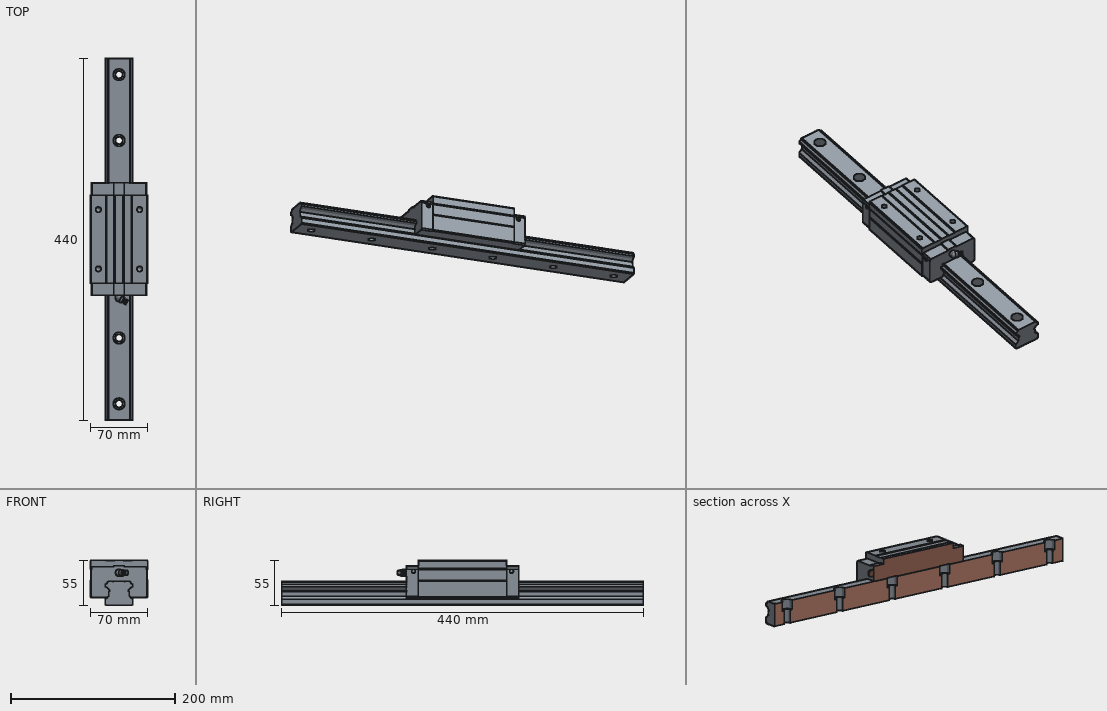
import cadquery as cq
import math

RAIL_LENGTH = 440.0
RAIL_HEIGHT = 29.0
RAIL_WIDTH = 34.0
RAIL_HALF_WIDTH = RAIL_WIDTH / 2
RAIL_TOP_HALF_WIDTH = 12.8
RAIL_BASE_CHAMFER = 1.5
FOOT_EDGE_Z = 7.5
WEB_HALF_WIDTH = 12.8
WEB_FOOT_Z = 11.0
WEB_TOP_HALF_WIDTH = 12.5
WEB_TOP_Z = 16.5
LOWER_TRACK_ROOT_X = 11.0
LOWER_TRACK_ROOT_Z = 17.5
HEAD_LOW_Z = 23.0
HEAD_HIGH_Z = 25.5
UPPER_TRACK_ROOT_X = 14.0
UPPER_TRACK_ROOT_Z = 28.0
TRACK_SAGITTA = 0.65

RAIL_HOLE_PITCH = 80.0
RAIL_HOLE_COUNT = 6
RAIL_HOLE_DIAMETER = 9.0
RAIL_BORE_DIAMETER = 14.0
RAIL_BORE_DEPTH = 12.0

BLOCK_WIDTH = 70.0
BLOCK_LENGTH = 107.5
BLOCK_TOP_Z = 55.0
CARRIAGE_BOTTOM_Z = 9.2
BLOCK_CHAMFER = 1.5
RECESS_DEPTH = 0.5
RECESS_SLOPE = 1.5
TOP_RECESS_INNER_X = 5.0
TOP_RECESS_OUTER_X = 16.5
SIDE_RECESS_LOW_Z = 29.5
SIDE_RECESS_HIGH_Z = 45.0

MOUNT_HOLE_DIAMETER = 6.5
MOUNT_HOLE_DEPTH = 12.0
DRILL_POINT_ANGLE = 118
MOUNT_SPACING_X = 50.0
MOUNT_SPACING_Y = 72.0

CARRIAGE_LENGTH = 137.0
CAP_WIDTH = 67.8
CAP_TOP_Z = 47.0
CAP_CHAMFER_X = 1.5
CAP_CHAMFER_Z = 3.0
CAP_BOTTOM_CHAMFER = 1.8
CAP_RIDGE_Z = 48.5
CAP_RIDGE_HALF_WIDTH = 6.0
CAP_HOLE_DIAMETER = 5.0
CAP_HOLE_DEPTH = 3.5
CAP_HOLE_INSET = 9.0

NIPPLE_Z = 39.5
NIPPLE_DIAMETER = 9.0
NIPPLE_STEM_LENGTH = 3.0
NIPPLE_SPOUT_ANGLE = 60
SPOUT_BODY_DIAMETER = 8.0
SPOUT_BODY_END = 5.5
SPOUT_NECK_START = 6.5
SPOUT_NECK_END = 8.0
SPOUT_HEAD_START = 9.0
SPOUT_END = 11.0
SPOUT_NECK_DIAMETER = 5.0
SPOUT_HEAD_DIAMETER = 6.0


def mirrored_outline(right_side):
    """Closed XZ outline from its +X points, listed bottom to top."""
    left_side = [(-x, z) for x, z in reversed(right_side)]
    return right_side + left_side


def extrude_along_y(outline, length, y_center=0.0):
    start = cq.Workplane("XZ", origin=(0, y_center, 0))
    return start.polyline(outline).close().extrude(length / 2, both=True)


def track_middle(start, end):
    """Middle point of a ball track that runs from start up to end on the +X side."""
    run_x = end[0] - start[0]
    run_z = end[1] - start[1]
    dip = TRACK_SAGITTA / math.hypot(run_x, run_z)
    middle_x = (start[0] + end[0]) / 2 - dip * run_z
    middle_z = (start[1] + end[1]) / 2 + dip * run_x
    return (middle_x, middle_z)


def rail_prism(length):
    """The rail's cross-section, with a concave ball track above and below each head edge."""
    lower_root = (LOWER_TRACK_ROOT_X, LOWER_TRACK_ROOT_Z)
    head_low = (RAIL_HALF_WIDTH, HEAD_LOW_Z)
    head_high = (RAIL_HALF_WIDTH, HEAD_HIGH_Z)
    upper_root = (UPPER_TRACK_ROOT_X, UPPER_TRACK_ROOT_Z)
    half_section = (
        cq.Workplane("XZ").moveTo(0, 0)
        .lineTo(RAIL_HALF_WIDTH - RAIL_BASE_CHAMFER, 0)
        .lineTo(RAIL_HALF_WIDTH, RAIL_BASE_CHAMFER)
        .lineTo(RAIL_HALF_WIDTH, FOOT_EDGE_Z)
        .lineTo(WEB_HALF_WIDTH, WEB_FOOT_Z)
        .lineTo(WEB_TOP_HALF_WIDTH, WEB_TOP_Z)
        .lineTo(*lower_root)
        .threePointArc(track_middle(lower_root, head_low), head_low)
        .lineTo(*head_high)
        .threePointArc(track_middle(head_high, upper_root), upper_root)
        .lineTo(RAIL_TOP_HALF_WIDTH, RAIL_HEIGHT)
        .lineTo(0, RAIL_HEIGHT)
        .close()
    )
    half_prism = half_section.extrude(length / 2, both=True)
    return half_prism.union(half_prism.mirror("YZ")).clean()


def make_rail():
    rail = rail_prism(RAIL_LENGTH)
    first_y = -RAIL_HOLE_PITCH * (RAIL_HOLE_COUNT - 1) / 2
    centers = [(0, first_y + i * RAIL_HOLE_PITCH) for i in range(RAIL_HOLE_COUNT)]
    return (
        rail.faces(">Z").workplane(origin=(0, 0, RAIL_HEIGHT)).pushPoints(centers)
        .cboreHole(RAIL_HOLE_DIAMETER, RAIL_BORE_DIAMETER, RAIL_BORE_DEPTH)
    )


def drilled_hole(x, y):
    """Blind mounting hole with a conical drill point, ready to be cut from the block."""
    radius = MOUNT_HOLE_DIAMETER / 2
    point_depth = radius / math.tan(math.radians(DRILL_POINT_ANGLE / 2))
    return (
        cq.Workplane("XZ")
        .polyline([
            (0, 0),
            (radius, 0),
            (radius, -MOUNT_HOLE_DEPTH),
            (0, -MOUNT_HOLE_DEPTH - point_depth),
        ]).close().revolve(360, (0, 0, 0), (0, 1, 0))
        .translate((x, y, BLOCK_TOP_Z))
    )


def make_block():
    half = BLOCK_WIDTH / 2
    floor_x = half - RECESS_DEPTH
    floor_z = BLOCK_TOP_Z - RECESS_DEPTH
    block = extrude_along_y(mirrored_outline([
        (half - BLOCK_CHAMFER, CARRIAGE_BOTTOM_Z),
        (half, CARRIAGE_BOTTOM_Z + BLOCK_CHAMFER),
        (half, SIDE_RECESS_LOW_Z),
        (floor_x, SIDE_RECESS_LOW_Z + RECESS_SLOPE),
        (floor_x, SIDE_RECESS_HIGH_Z - RECESS_SLOPE),
        (half, SIDE_RECESS_HIGH_Z),
        (half, BLOCK_TOP_Z - BLOCK_CHAMFER),
        (half - BLOCK_CHAMFER, BLOCK_TOP_Z),
        (TOP_RECESS_OUTER_X, BLOCK_TOP_Z),
        (TOP_RECESS_OUTER_X - RECESS_SLOPE, floor_z),
        (TOP_RECESS_INNER_X + RECESS_SLOPE, floor_z),
        (TOP_RECESS_INNER_X, BLOCK_TOP_Z),
    ]), BLOCK_LENGTH)
    for x in (-MOUNT_SPACING_X / 2, MOUNT_SPACING_X / 2):
        for y in (-MOUNT_SPACING_Y / 2, MOUNT_SPACING_Y / 2):
            block = block.cut(drilled_hole(x, y))
    return block


def make_end_cap(end):
    """End cap at the -Y end (end = -1) or the +Y end (end = 1)."""
    half = CAP_WIDTH / 2
    cap_length = (CARRIAGE_LENGTH - BLOCK_LENGTH) / 2
    y_center = end * (BLOCK_LENGTH + cap_length) / 2
    cap = extrude_along_y(mirrored_outline([
        (half - CAP_BOTTOM_CHAMFER, CARRIAGE_BOTTOM_Z),
        (half, CARRIAGE_BOTTOM_Z + CAP_BOTTOM_CHAMFER),
        (half, CAP_TOP_Z - CAP_CHAMFER_Z),
        (half - CAP_CHAMFER_X, CAP_TOP_Z),
        (CAP_RIDGE_HALF_WIDTH, CAP_TOP_Z),
        (CAP_RIDGE_HALF_WIDTH, CAP_RIDGE_Z),
    ]), cap_length, y_center)

    hole_y = end * (CARRIAGE_LENGTH / 2 - CAP_HOLE_INSET)
    hole_z = CAP_TOP_Z - CAP_CHAMFER_Z - CAP_HOLE_DIAMETER / 2
    for side in (-1, 1):
        hole = (
            cq.Workplane("YZ", origin=(side * half, hole_y, hole_z))
            .circle(CAP_HOLE_DIAMETER / 2).extrude(-side * CAP_HOLE_DEPTH)
        )
        cap = cap.cut(hole)
    return cap


def make_carriage():
    carriage = make_block()
    for end in (-1, 1):
        carriage = carriage.union(make_end_cap(end))
    return carriage.cut(rail_prism(CARRIAGE_LENGTH))


def make_nipple():
    radius = NIPPLE_DIAMETER / 2
    body = SPOUT_BODY_DIAMETER / 2
    neck = SPOUT_NECK_DIAMETER / 2
    head = SPOUT_HEAD_DIAMETER / 2
    elbow_y = -CARRIAGE_LENGTH / 2 - NIPPLE_STEM_LENGTH
    elbow = (0, elbow_y, NIPPLE_Z)
    stem = cq.Workplane("XZ", origin=elbow).circle(radius).extrude(-NIPPLE_STEM_LENGTH)
    ball = cq.Workplane("XY", origin=elbow).sphere(radius)
    spout = (
        cq.Workplane("XY")
        .polyline([
            (0, 0),
            (body, 0),
            (body, -SPOUT_BODY_END),
            (neck, -SPOUT_NECK_START),
            (neck, -SPOUT_NECK_END),
            (head, -SPOUT_HEAD_START),
            (head, -SPOUT_END),
            (0, -SPOUT_END),
        ]).close().revolve(360, (0, 0, 0), (0, 1, 0))
        .rotate((0, 0, 0), (0, 0, 1), NIPPLE_SPOUT_ANGLE)
        .translate(elbow)
    )
    nipple = stem.union(ball).union(spout)
    behind_face = (
        cq.Workplane("XZ", origin=(0, -CARRIAGE_LENGTH / 2, NIPPLE_Z))
        .circle(NIPPLE_DIAMETER).extrude(-NIPPLE_DIAMETER)
    )
    return nipple.cut(behind_face)


rail = make_rail()
carriage = make_carriage()
nipple = make_nipple()

result = cq.Compound.makeCompound([
    rail.solids().val(),
    carriage.solids().val(),
    nipple.solids().val(),
])